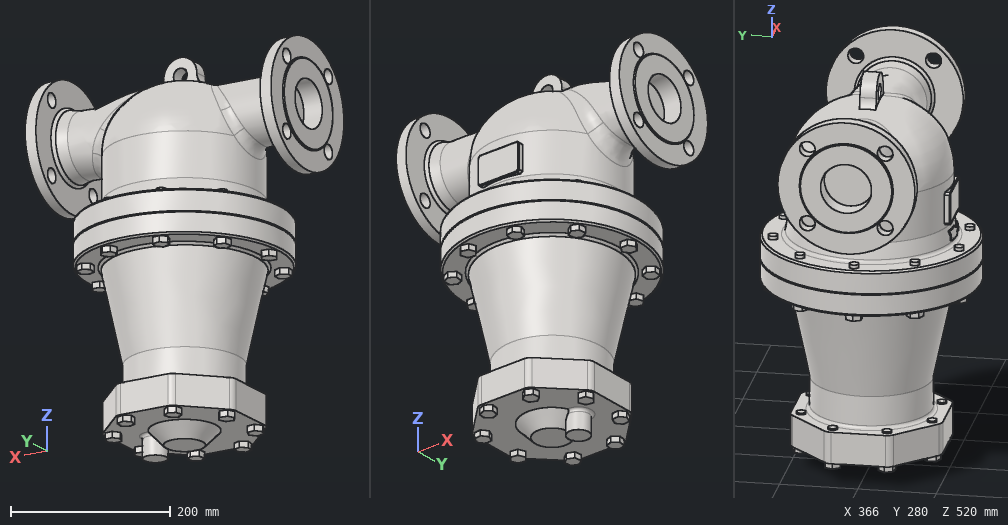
import cadquery as cq
import math

BODY_R = 104.0
DOME_BASE_Z = 392.5
DOME_HEIGHT = 92.5
SHOULDER_R = 78.0
SHOULDER_HEIGHT = 63.5
SKIRT_TOP_Z = 330.5
SKIRT_R = 108.5
SKIRT_FILLET = 4.5

FLANGE_R = 280.0 / 2
FLANGE_TOP_Z = 305.0
FLANGE_BOTTOM_Z = 245.0
SKIRT_BOTTOM_Z = FLANGE_TOP_Z + SKIRT_FILLET
FLANGE_CHAMFER = 2.5
GASKET_Z = 274.5
GASKET_THICKNESS = 1.3
GASKET_INSET = 1.5

CONE_TOP_R = 105.0
CONE_TOP_Z = 241.5
CONE_BOTTOM_Z = 116.0
NECK_R = 78.0
NECK_FILLET = 4.5

OCTAGON_HALF_WIDTH = 97.0
OCTAGON_CORNER_R = 13.0
OCTAGON_TURN = 22.5
OCTAGON_TOP_Z = 72.5
OCTAGON_BOTTOM_Z = 30.0
COVER_DISH_BOTTOM_Z = 11.0
COVER_DISH_R = 26.5
DRAIN_R = 32.0 / 2
DRAIN_X = 43.0
DRAIN_FILLET = 4.0

STUD_R = 12.0 / 2
HEAD_ACROSS_FLATS = 19.0
HEAD_HEIGHT = 8.5
HEX_FLAT_OUTWARD = 30
FLANGE_BOLT_COUNT = 10
FLANGE_BOLT_CIRCLE_R = 125.0
FLANGE_STUD_HEIGHT = 4.5
OCTAGON_BOLT_COUNT = 8
OCTAGON_BOLT_CIRCLE_R = 90.5
OCTAGON_STUD_HEIGHT = 2.0

PIPE_R = 89.0 / 2
PIPE_Z = 430.5
PIPE_INNER_X = 15.5
END_X = 366.0 / 2
RAISED_FACE_R = 60.0
RAISED_FACE_HEIGHT = 1.5
PIPE_FLANGE_R = 175.0 / 2
PIPE_FLANGE_BACK_X = 165.5
HUB_FILLET_X = 160.5
HUB_START_X = 145.5
HUB_R = 48.0
HUB_FILLET = 3.5
PIPE_HOLE_R = 20.0 / 2
PIPE_HOLE_CIRCLE_R = 70.0
PIPE_HOLE_COUNT = 4
BORE_R = 65.0 / 2
BORE_DEPTH = 27.0
INLET_FILLET = 13.5
OUTLET_FILLET = 21.0
HUMP_START_X = 112.0
HUMP_TOP_X = 67.5
HUMP_RISE = 11.5
HUMP_INNER_RISE = 3.5
HUMP_INNER_SLOPE = 0.4
JOINT_BOX_HALF_WIDTH = 47.0
JOINT_BOX_OUTER_X = 105.5

TOP_Z = 520.0
LUG_R = 24.5
LUG_HOLE_R = 20.0 / 2
LUG_THICKNESS = 21.0
LUG_FOOT_HALF_WIDTH = 30.5
LUG_FOOT_Z = 481.0

PLATE_WIDTH = 66.5
PLATE_BOTTOM_Z = 334.5
PLATE_TOP_Z = 378.0
PLATE_FACE_Y = -106.5
PLATE_BACK_Y = -98.0
PLATE_CORNER = 3.0
PLATE_EDGE = 1.3
ARROW_Z = 317.5
ARROW_RELIEF = 1.5
ARROW_LENGTH = 51.0
ARROW_HEIGHT = 12.5
ARROW_HEAD_LENGTH = 11.5
ARROW_SHAFT_LENGTH = 13.0
ARROW_SHAFT_WIDTH = 5.0
ARROW_NOTCH_DEPTH = 2.0


def revolve_profile(profile):
    return profile.close().revolve(360, (0, 0, 0), (0, 1, 0))


def upper_body():
    """Dome, straight wall and flared skirt down to the main flange."""
    return revolve_profile(
        cq.Workplane("XZ")
        .moveTo(0, FLANGE_TOP_Z)
        .lineTo(SKIRT_R + SKIRT_FILLET, FLANGE_TOP_Z)
        .radiusArc((SKIRT_R, SKIRT_BOTTOM_Z), SKIRT_FILLET)
        .lineTo(BODY_R, SKIRT_TOP_Z)
        .lineTo(BODY_R, DOME_BASE_Z)
        .spline(
            [(SHOULDER_R, DOME_BASE_Z + SHOULDER_HEIGHT), (0, DOME_BASE_Z + DOME_HEIGHT)],
            tangents=[(0, 1), (-1, 0)],
            includeCurrent=True,
        )
    )


def disc(radius, bottom, top):
    return cq.Workplane("XY", origin=(0, 0, bottom)).circle(radius).extrude(top - bottom)


def main_flange():
    """Two bolted rings, with the gasket recessed between them."""
    rings = disc(FLANGE_R, FLANGE_BOTTOM_Z, FLANGE_TOP_Z).edges("%CIRCLE").chamfer(FLANGE_CHAMFER)
    gasket_recess = (
        cq.Workplane("XY", origin=(0, 0, GASKET_Z - GASKET_THICKNESS / 2))
        .circle(FLANGE_R)
        .circle(FLANGE_R - GASKET_INSET)
        .extrude(GASKET_THICKNESS)
    )
    return rings.cut(gasket_recess)


def lower_body():
    """Tapered shell and neck between the two flanges."""
    return revolve_profile(
        cq.Workplane("XZ")
        .moveTo(0, OCTAGON_TOP_Z)
        .lineTo(NECK_R + NECK_FILLET, OCTAGON_TOP_Z)
        .radiusArc((NECK_R, OCTAGON_TOP_Z + NECK_FILLET), NECK_FILLET)
        .lineTo(NECK_R, CONE_BOTTOM_Z)
        .lineTo(CONE_TOP_R, CONE_TOP_Z)
        .lineTo(CONE_TOP_R + FLANGE_BOTTOM_Z - CONE_TOP_Z, FLANGE_BOTTOM_Z)
        .lineTo(0, FLANGE_BOTTOM_Z)
    )


def octagon_plate():
    across_corners = 2 * OCTAGON_HALF_WIDTH / math.cos(math.radians(OCTAGON_TURN))
    return (
        cq.Workplane("XY", origin=(0, 0, OCTAGON_BOTTOM_Z))
        .transformed(rotate=(0, 0, OCTAGON_TURN))
        .polygon(8, across_corners)
        .extrude(OCTAGON_TOP_Z - OCTAGON_BOTTOM_Z)
        .edges("|Z")
        .fillet(OCTAGON_CORNER_R)
    )


def bottom_cover():
    """45-degree dish under the octagon, with the off-centre drain stub."""
    dish_depth = OCTAGON_BOTTOM_Z - COVER_DISH_BOTTOM_Z
    dish = revolve_profile(
        cq.Workplane("XZ")
        .moveTo(0, COVER_DISH_BOTTOM_Z)
        .lineTo(COVER_DISH_R, COVER_DISH_BOTTOM_Z)
        .lineTo(COVER_DISH_R + dish_depth, OCTAGON_BOTTOM_Z)
        .lineTo(0, OCTAGON_BOTTOM_Z)
    )
    drain = revolve_profile(
        cq.Workplane("XZ")
        .lineTo(DRAIN_R, 0)
        .lineTo(DRAIN_R, OCTAGON_BOTTOM_Z - DRAIN_FILLET)
        .radiusArc((DRAIN_R + DRAIN_FILLET, OCTAGON_BOTTOM_Z), DRAIN_FILLET)
        .lineTo(0, OCTAGON_BOTTOM_Z)
    )
    return dish.union(drain.translate((DRAIN_X, 0, 0)))


def bolt_circle(count, circle_r, first_angle, head_turn, plate_bottom, plate_top, stud_height):
    """List of bolts with hex heads under a plate and stud ends standing above it."""
    head = (
        cq.Workplane("XY", origin=(0, 0, plate_bottom - HEAD_HEIGHT))
        .transformed(rotate=(0, 0, head_turn))
        .polygon(6, HEAD_ACROSS_FLATS / math.cos(math.pi / 6))
        .extrude(HEAD_HEIGHT)
    )
    bolt = head.union(disc(STUD_R, plate_bottom, plate_top + stud_height))
    bolt = bolt.translate((circle_r, 0, 0))
    step = 360 / count
    return [bolt.rotate((0, 0, 0), (0, 0, 1), first_angle + index * step) for index in range(count)]


def pipe_end():
    """Pipe flange with raised face and hub, at the +X end."""
    face_x = END_X - RAISED_FACE_HEIGHT
    end = (
        cq.Workplane("XY")
        .moveTo(HUB_START_X, 0)
        .lineTo(HUB_START_X, PIPE_R)
        .lineTo(HUB_FILLET_X, HUB_R)
        .lineTo(PIPE_FLANGE_BACK_X, HUB_R + HUB_FILLET)
        .lineTo(PIPE_FLANGE_BACK_X, PIPE_FLANGE_R)
        .lineTo(face_x, PIPE_FLANGE_R)
        .lineTo(face_x, RAISED_FACE_R)
        .lineTo(END_X, RAISED_FACE_R - RAISED_FACE_HEIGHT)
        .lineTo(END_X, 0)
        .close()
        .revolve(360, (0, 0, 0), (1, 0, 0))
    )
    holes = (
        cq.Workplane("YZ", origin=(PIPE_FLANGE_BACK_X, 0, 0))
        .polarArray(PIPE_HOLE_CIRCLE_R, 45, 360, PIPE_HOLE_COUNT)
        .circle(PIPE_HOLE_R)
        .extrude(END_X - PIPE_FLANGE_BACK_X)
    )
    bore = cq.Workplane("YZ", origin=(END_X - BORE_DEPTH, 0, 0)).circle(BORE_R).extrude(BORE_DEPTH)
    return end.cut(holes).cut(bore).translate((0, 0, PIPE_Z))


def inlet_pipe():
    length = HUB_START_X - PIPE_INNER_X
    return cq.Workplane("YZ", origin=(-HUB_START_X, 0, PIPE_Z)).circle(PIPE_R).extrude(length)


def outlet_pipe():
    """Pipe that arches slightly upward where it leaves the dome."""
    path = cq.Workplane("XZ").spline(
        [
            (HUB_START_X, PIPE_Z),
            (HUMP_START_X, PIPE_Z),
            (HUMP_TOP_X, PIPE_Z + HUMP_RISE),
            (PIPE_INNER_X, PIPE_Z + HUMP_INNER_RISE),
        ],
        tangents=[(-1, 0), (-1, -HUMP_INNER_SLOPE)],
    )
    section = cq.Workplane("YZ", origin=(HUB_START_X, 0, PIPE_Z)).circle(PIPE_R)
    return section.sweep(path)


def lug():
    """Rounded eye on the crown, in the XZ plane, with concave feet."""
    eye_z = TOP_Z - LUG_R
    half_thickness = LUG_THICKNESS / 2
    spread = LUG_FOOT_HALF_WIDTH - LUG_R
    rise = eye_z - LUG_FOOT_Z
    foot_arc_r = (spread**2 + rise**2) / (2 * spread)
    diagonal = LUG_R * math.sqrt(0.5)
    right_half = (
        cq.Workplane("XZ", origin=(0, half_thickness, 0))
        .moveTo(0, DOME_BASE_Z)
        .lineTo(LUG_FOOT_HALF_WIDTH, DOME_BASE_Z)
        .lineTo(LUG_FOOT_HALF_WIDTH, LUG_FOOT_Z)
        .radiusArc((LUG_R, eye_z), foot_arc_r)
        .threePointArc((diagonal, eye_z + diagonal), (0, TOP_Z))
        .close()
        .extrude(LUG_THICKNESS)
    )
    outline = right_half.union(right_half.mirror("YZ"))
    eye = cq.Workplane("XZ", origin=(0, half_thickness, eye_z)).circle(LUG_HOLE_R).extrude(LUG_THICKNESS)
    return outline.cut(eye)


def name_plate():
    return (
        cq.Workplane("XZ", origin=(0, PLATE_BACK_Y, (PLATE_BOTTOM_Z + PLATE_TOP_Z) / 2))
        .rect(PLATE_WIDTH, PLATE_TOP_Z - PLATE_BOTTOM_Z)
        .extrude(PLATE_BACK_Y - PLATE_FACE_Y)
        .edges("|Y")
        .chamfer(PLATE_CORNER)
        .faces("<Y")
        .edges()
        .chamfer(PLATE_EDGE)
    )


def flow_arrow():
    """Notched arrow pointing +X, standing off the conical skirt."""
    half_length = ARROW_LENGTH / 2
    half_height = ARROW_HEIGHT / 2
    half_shaft = ARROW_SHAFT_WIDTH / 2
    head_x = half_length - ARROW_HEAD_LENGTH
    shaft_start_x = head_x - ARROW_SHAFT_LENGTH
    taper = half_height - half_shaft
    upper_half = [
        (half_length, 0),
        (head_x, half_height),
        (head_x, half_shaft),
        (shaft_start_x, half_shaft),
        (shaft_start_x - taper, half_height),
        (-half_length, half_height),
        (-half_length + ARROW_NOTCH_DEPTH, 0),
    ]
    lower_half = [(x, -z) for x, z in reversed(upper_half[1:-1])]
    blank = (
        cq.Workplane("XZ", origin=(0, 0, ARROW_Z))
        .polyline(upper_half + lower_half)
        .close()
        .extrude(BODY_R + SKIRT_R)
    )
    envelope = revolve_profile(
        cq.Workplane("XZ")
        .moveTo(0, SKIRT_BOTTOM_Z)
        .lineTo(SKIRT_R + ARROW_RELIEF, SKIRT_BOTTOM_Z)
        .lineTo(BODY_R + ARROW_RELIEF, SKIRT_TOP_Z)
        .lineTo(0, SKIRT_TOP_Z)
    )
    return blank.intersect(envelope)


def dome_with_pipes():
    """Upper body with both side pipes, their joints to the dome rounded."""
    shell = upper_body().rotate((0, 0, 0), (0, 0, 1), 90)
    for side, pipe, fillet in ((-1, inlet_pipe(), INLET_FILLET), (1, outlet_pipe(), OUTLET_FILLET)):
        joint_box = cq.selectors.BoxSelector(
            (side * PIPE_INNER_X, -JOINT_BOX_HALF_WIDTH, SKIRT_TOP_Z),
            (side * JOINT_BOX_OUTER_X, JOINT_BOX_HALF_WIDTH, TOP_Z),
        )
        shell = shell.union(pipe).edges(joint_box).fillet(fillet)
    return shell


main_bolts = bolt_circle(
    count=FLANGE_BOLT_COUNT,
    circle_r=FLANGE_BOLT_CIRCLE_R,
    first_angle=0,
    head_turn=0,
    plate_bottom=FLANGE_BOTTOM_Z,
    plate_top=FLANGE_TOP_Z,
    stud_height=FLANGE_STUD_HEIGHT,
)
octagon_bolts = bolt_circle(
    count=OCTAGON_BOLT_COUNT,
    circle_r=OCTAGON_BOLT_CIRCLE_R,
    first_angle=OCTAGON_TURN,
    head_turn=HEX_FLAT_OUTWARD,
    plate_bottom=OCTAGON_BOTTOM_Z,
    plate_top=OCTAGON_TOP_Z,
    stud_height=OCTAGON_STUD_HEIGHT,
)
sections = [
    main_flange(),
    lower_body(),
    octagon_plate(),
    bottom_cover(),
    pipe_end(),
    pipe_end().mirror("YZ"),
    lug(),
    name_plate(),
    flow_arrow(),
]

result = dome_with_pipes()
for section in sections + main_bolts + octagon_bolts:
    result = result.union(section)